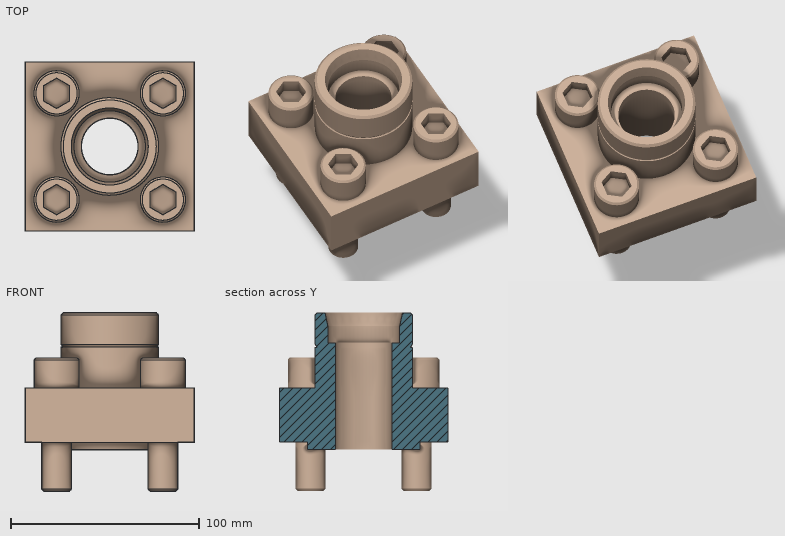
import cadquery as cq
import math

plate_side = 90.0
plate_thickness = 29.0

neck_diameter = 52.0
neck_height = 40.0
neck_chamfer = 1.2
spigot_diameter = 60.0
spigot_length = 4.0
bore_diameter = 30.0

socket_diameter = 38.0
socket_depth = 16.0
mouth_depth = 7.1
mouth_half_angle = 12

groove_top_depth = 16.8
groove_width = 1.5
groove_depth = 0.95

bolt_circle_diameter = 80.0
shank_diameter = 16.0
shank_chamfer = 1.2
head_diameter = 24.0
head_height = shank_diameter
head_chamfer = 1.0
hex_across_flats = 14.0
hex_depth = 8.0

overall_height = 95.0
neck_top = plate_thickness + neck_height
shank_bottom = neck_top - overall_height


def cylinder(diameter, bottom, top):
    """Vertical cylinder between two heights on the Z axis."""
    return cq.Workplane("XY").workplane(offset=bottom).circle(diameter / 2).extrude(top - bottom)


def revolve_profile(points):
    """Solid of revolution about Z from (radius, height) points."""
    return cq.Workplane("XZ").polyline(points).close().revolve(360, (0, 0), (0, 1))


def make_neck():
    neck = cylinder(neck_diameter, 0, neck_top).faces(">Z").chamfer(neck_chamfer)
    radius = neck_diameter / 2
    groove_top = neck_top - groove_top_depth
    groove_bottom = groove_top - groove_width
    groove = revolve_profile([
        (radius, groove_top),
        (radius - groove_depth, groove_bottom),
        (neck_diameter, groove_bottom),
        (neck_diameter, groove_top),
    ])
    return neck.cut(groove)


def make_socket():
    straight_radius = socket_diameter / 2
    mouth_radius = straight_radius + mouth_depth * math.tan(math.radians(mouth_half_angle))
    return revolve_profile([
        (0, neck_top),
        (mouth_radius, neck_top),
        (straight_radius, neck_top - mouth_depth),
        (straight_radius, neck_top - socket_depth),
        (0, neck_top - socket_depth),
    ])


def make_screw():
    head_top = plate_thickness + head_height
    shank = cylinder(shank_diameter, shank_bottom, plate_thickness).faces("<Z").chamfer(shank_chamfer)
    head = cylinder(head_diameter, plate_thickness, head_top).faces(">Z").chamfer(head_chamfer)
    hex_across_corners = hex_across_flats / math.cos(math.radians(30))
    hex_recess = (
        cq.Workplane("XY")
        .workplane(offset=head_top - hex_depth)
        .transformed(rotate=(0, 0, 90))
        .polygon(6, hex_across_corners)
        .extrude(hex_depth)
    )
    return shank.union(head).cut(hex_recess)


plate = cq.Workplane("XY").box(plate_side, plate_side, plate_thickness, centered=(True, True, False))
spigot = cylinder(spigot_diameter, -spigot_length, 0)
bore = cylinder(bore_diameter, -spigot_length, neck_top)

result = plate.union(make_neck()).union(spigot).cut(make_socket()).cut(bore)

screw = make_screw()
screw_offset = bolt_circle_diameter / 2 / math.sqrt(2)
for x_side in (-1, 1):
    for y_side in (-1, 1):
        result = result.union(screw.translate((x_side * screw_offset, y_side * screw_offset, 0)))